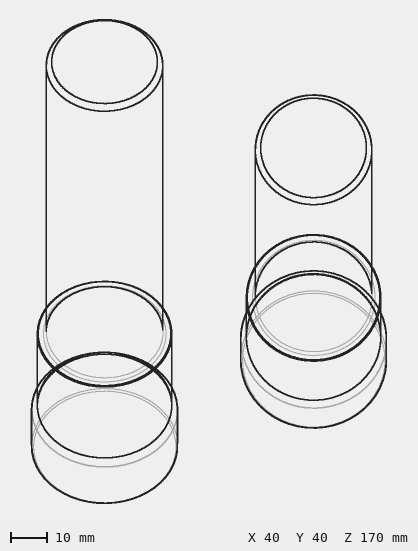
import cadquery as cq
import math

total_length = 170.0

shank_radius = 32.0 / 2
top_chamfer = 1.5
neck_fillet = 0.8
collar_radius = 36.88 / 2
collar_top = 50.0
collar_chamfer = 0.25

head_radius = 40.03 / 2
head_top = 18.4
head_base_round = 0.5
head_rim_round = 0.1
flare_width = head_radius - head_rim_round - collar_radius
flare_height = 1.9
head_shoulder = head_top - flare_height

arc_inset = 1 - math.sqrt(0.5)


def revolve_about_z(profile):
    """Turn a closed half section in the XZ plane a full turn about the Z axis."""
    return profile.revolve(360, (0, 0), (0, 1))


def make_shank():
    """Chamfered shank and collar, with a fillet where the shank meets the collar."""
    fillet_mid = neck_fillet * arc_inset
    profile = (
        cq.Workplane("XZ")
        .moveTo(0, head_top)
        .lineTo(collar_radius, head_top)
        .lineTo(collar_radius, collar_top - collar_chamfer)
        .lineTo(collar_radius - collar_chamfer, collar_top)
        .lineTo(shank_radius + neck_fillet, collar_top)
        .threePointArc(
            (shank_radius + fillet_mid, collar_top + fillet_mid),
            (shank_radius, collar_top + neck_fillet),
        )
        .lineTo(shank_radius, total_length - top_chamfer)
        .lineTo(shank_radius - top_chamfer, total_length)
        .lineTo(0, total_length)
        .close()
    )
    return revolve_about_z(profile)


def make_head():
    """Disc with rounded rims, rising in a concave flare to the collar's diameter."""
    base_mid = head_base_round * arc_inset
    rim_mid = head_rim_round * arc_inset
    profile = (
        cq.Workplane("XZ")
        .lineTo(head_radius - head_base_round, 0)
        .threePointArc(
            (head_radius - base_mid, base_mid),
            (head_radius, head_base_round),
        )
        .lineTo(head_radius, head_shoulder - head_rim_round)
        .threePointArc(
            (head_radius - rim_mid, head_shoulder - rim_mid),
            (head_radius - head_rim_round, head_shoulder),
        )
        .threePointArc(
            (collar_radius + flare_width * arc_inset, head_shoulder + flare_height * arc_inset),
            (collar_radius, head_top),
        )
        .lineTo(0, head_top)
        .close()
    )
    return revolve_about_z(profile)


shank = make_shank()
head = make_head()

result = cq.Compound.makeCompound([shank.val(), head.val()])